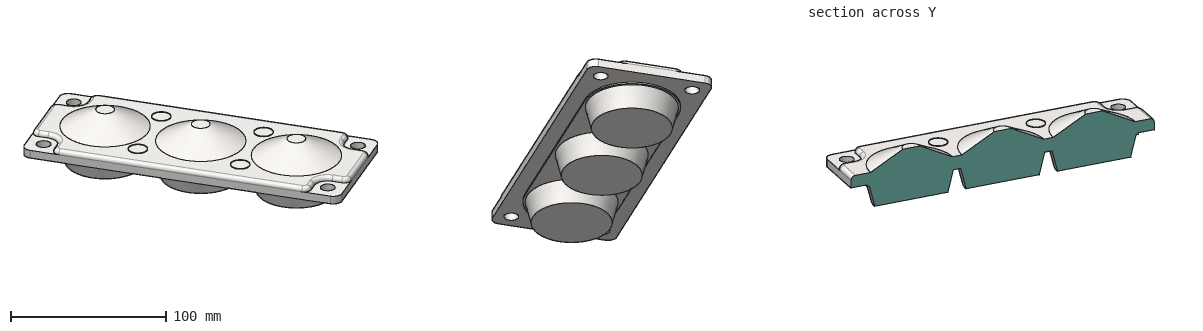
import cadquery as cq

length = 216.0
width = 84.0
plate_corner_radius = 6.0
hole_diameter = 9.5
hole_x = 96.5
hole_y = 30.9

cup_height = 15.1
lip_height = 1.0
plate_bottom = cup_height + lip_height
plate_top = 21.8
deck_top = 24.8
apex_top = 37.0

deck_edge_radius = deck_top - plate_top
notch_radius = 9.0
notch_mouth_radius = 5.0

cell_pitch = 65.0
cell_centres = [(step * cell_pitch, 0) for step in (-1, 0, 1)]
cone_base_radius = 29.2
cone_apex_radius = 6.0
cup_top_radius = 30.0
cup_bottom_radius = 26.1
lip_radius = 31.5

pad_diameter = 12.5
pad_height = 0.5
pad_x = 34.8
pad_y = 24.0


def four_corners(x, y):
    """Points mirrored about both horizontal axes."""
    return [(-x, -y), (-x, y), (x, -y), (x, y)]


def round_upright_edge(solid, x, y, radius):
    """Fillet the single vertical edge standing at (x, y)."""
    reach = 1.0
    around_edge = cq.selectors.BoxSelector(
        (x - reach, y - reach, 0), (x + reach, y + reach, apex_top)
    )
    return solid.edges("|Z").edges(around_edge).fillet(radius)


def frustum(z_bottom, z_top, bottom_radius, top_radius):
    """Truncated cone about the Z axis."""
    profile = [(0, z_bottom), (bottom_radius, z_bottom), (top_radius, z_top), (0, z_top)]
    return cq.Workplane("XZ").polyline(profile).close().revolve(360, (0, 0), (0, 1))


def make_plate():
    return (
        cq.Workplane("XY", origin=(0, 0, plate_bottom))
        .rect(length, width)
        .extrude(plate_top - plate_bottom)
        .edges("|Z")
        .fillet(plate_corner_radius)
    )


def make_deck():
    """Cross-shaped deck rising through the plate, with its top rim rounded over."""
    notch_x = hole_x - notch_radius
    notch_y = hole_y - notch_radius
    deck_height = deck_top - plate_bottom
    base = cq.Workplane("XY", origin=(0, 0, plate_bottom))
    along = base.rect(length, 2 * notch_y).extrude(deck_height)
    across = base.rect(2 * notch_x, width).extrude(deck_height)
    deck = along.union(across)

    for x, y in four_corners(notch_x, notch_y):
        deck = round_upright_edge(deck, x, y, notch_radius)
    for x, y in four_corners(length / 2, notch_y) + four_corners(notch_x, width / 2):
        deck = round_upright_edge(deck, x, y, notch_mouth_radius)
    return deck.faces(">Z").edges().fillet(deck_edge_radius)


def make_lip():
    """Long rounded step under the plate that surrounds all three cups."""
    lip_length = 2 * (cell_pitch + lip_radius)
    return (
        cq.Workplane("XY", origin=(0, 0, cup_height))
        .slot2D(lip_length, 2 * lip_radius)
        .extrude(lip_height)
    )


def make_pads():
    return (
        cq.Workplane("XY", origin=(0, 0, deck_top))
        .pushPoints(four_corners(pad_x, pad_y))
        .circle(pad_diameter / 2)
        .extrude(pad_height)
    )


body = make_plate().union(make_deck()).union(make_lip()).union(make_pads())

cone = frustum(deck_top, apex_top, cone_base_radius, cone_apex_radius)
cup = frustum(0, cup_height, cup_bottom_radius, cup_top_radius)
for x, y in cell_centres:
    body = body.union(cone.translate((x, y, 0))).union(cup.translate((x, y, 0)))

holes = (
    cq.Workplane("XY")
    .pushPoints(four_corners(hole_x, hole_y))
    .circle(hole_diameter / 2)
    .extrude(apex_top)
)
result = body.cut(holes)